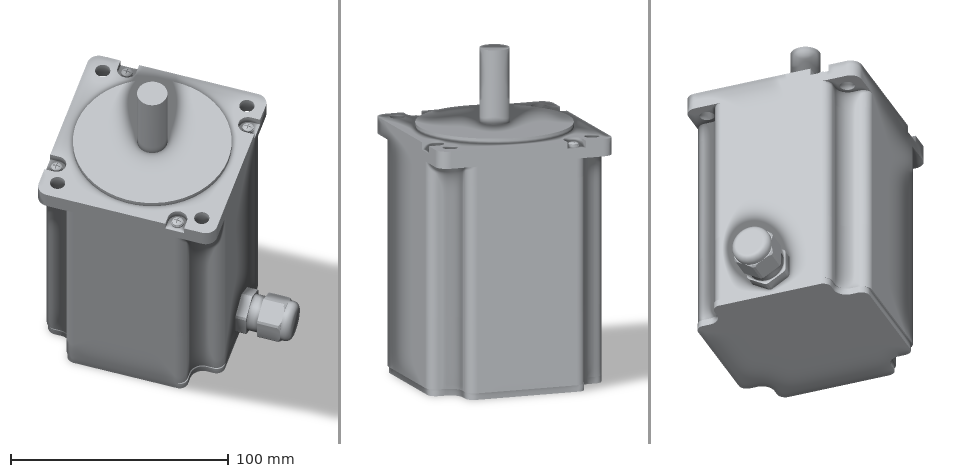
import cadquery as cq
import math

END_PLATE_TOP = 3.3
REAR_CASING_TOP = 37.3
STATOR_TOP = 101.0
FLANGE_BOTTOM = 110.0
FLANGE_TOP = 118.1
PILOT_TOP = 120.5
SHAFT_TOP = 155.4

BODY_WIDTH = 86.0
BODY_EDGE_RADIUS = 4.5
END_PLATE_WIDTH = 85.0
END_PLATE_SHIFT = (BODY_WIDTH - END_PLATE_WIDTH) / 2
END_PLATE_EDGE_RADIUS = BODY_EDGE_RADIUS - END_PLATE_SHIFT
RELIEF_SIDE = 14.0
RELIEF_RADIUS = 6.0

FLANGE_CORNER_RADIUS = 5.5
MOUNT_HOLE_DIAMETER = 7.0
MOUNT_HOLE_SPACING = 69.5
PILOT_DIAMETER = 73.0
SHAFT_DIAMETER = 14.0

POCKET_WIDTH = 9.0
POCKET_DEPTH = 3.4
SCREW_OFFSET = 24.2
SCREW_RADIAL = 38.5
WASHER_DIAMETER = 5.5
WASHER_HEIGHT = 1.0
HEAD_DIAMETER = 5.0
HEAD_SIDE_HEIGHT = 0.8
HEAD_DOME_HEIGHT = 0.8
CROSS_LENGTH = 3.3
CROSS_WIDTH = 0.39
CROSS_DEPTH = 1.0

GLAND_HEIGHT = 13.4
GLAND_REACH = 26.0
LOCK_NUT_LENGTH = 5.1
NECK_LENGTH = 5.3
NECK_DIAMETER = 17.2
HEX_FLATS = 19.0
HEX_CORNERS = 21.1
CAP_HEX_LENGTH = 11.0
CAP_CHAMFER = 1.1
CAP_DIAMETER = HEX_FLATS
CAP_FILLET = 3.0


def housing_section(width, edge_radius, bottom, top):
    """Square prism with rounded reliefs cut along its four corners."""
    height = top - bottom
    prism = cq.Workplane("XY", origin=(0, 0, bottom)).rect(width, width).extrude(height)
    reliefs = (
        cq.Workplane("XY", origin=(0, 0, bottom))
        .rect(BODY_WIDTH, BODY_WIDTH, forConstruction=True)
        .vertices()
        .rect(2 * RELIEF_SIDE, 2 * RELIEF_SIDE)
        .extrude(height)
        .edges("|Z")
        .fillet(RELIEF_RADIUS)
    )
    outer_edges = "(>X or <X or >Y or <Y) and |Z"
    return prism.cut(reliefs).edges(outer_edges).fillet(edge_radius)


def flange():
    """Rounded square flange with four mounting holes."""
    return (
        cq.Workplane("XY", origin=(0, 0, FLANGE_BOTTOM))
        .rect(BODY_WIDTH, BODY_WIDTH)
        .extrude(FLANGE_TOP - FLANGE_BOTTOM)
        .edges("|Z")
        .fillet(FLANGE_CORNER_RADIUS)
        .faces(">Z")
        .workplane()
        .rect(MOUNT_HOLE_SPACING, MOUNT_HOLE_SPACING, forConstruction=True)
        .vertices()
        .hole(MOUNT_HOLE_DIAMETER)
    )


def disc(diameter, bottom, top):
    """Cylinder on the shaft axis."""
    return cq.Workplane("XY", origin=(0, 0, bottom)).circle(diameter / 2).extrude(top - bottom)


def screw_pocket():
    """Round-ended pocket open to the -Y side of the flange."""
    floor = cq.Workplane("XY", origin=(SCREW_OFFSET, -SCREW_RADIAL, FLANGE_TOP - POCKET_DEPTH))
    round_end = floor.circle(POCKET_WIDTH / 2).extrude(POCKET_DEPTH)
    opening = (
        floor.center(0, -POCKET_WIDTH / 2)
        .rect(POCKET_WIDTH, POCKET_WIDTH)
        .extrude(POCKET_DEPTH)
    )
    return round_end.union(opening)


def screw():
    """Washer and domed cross-recess screw head seated in the -Y pocket."""
    head_radius = HEAD_DIAMETER / 2
    head_edge = WASHER_HEIGHT + HEAD_SIDE_HEIGHT
    head_top = head_edge + HEAD_DOME_HEIGHT
    dome_radius = (head_radius**2 + HEAD_DOME_HEIGHT**2) / (2 * HEAD_DOME_HEIGHT)
    arc_middle = head_top - dome_radius + math.sqrt(dome_radius**2 - (head_radius / 2) ** 2)
    washer = cq.Workplane("XY").circle(WASHER_DIAMETER / 2).extrude(WASHER_HEIGHT)
    head = (
        cq.Workplane("XZ")
        .moveTo(0, WASHER_HEIGHT)
        .lineTo(head_radius, WASHER_HEIGHT)
        .lineTo(head_radius, head_edge)
        .threePointArc((head_radius / 2, arc_middle), (0, head_top))
        .close()
        .revolve(360, (0, 0, 0), (0, 1, 0))
    )
    top = cq.Workplane("XY", origin=(0, 0, head_top))
    cross = (
        top.rect(CROSS_LENGTH, CROSS_WIDTH)
        .extrude(-CROSS_DEPTH)
        .union(top.rect(CROSS_WIDTH, CROSS_LENGTH).extrude(-CROSS_DEPTH))
    )
    seat = (SCREW_OFFSET, -SCREW_RADIAL, FLANGE_TOP - POCKET_DEPTH)
    return washer.union(head).cut(cross).translate(seat)


def gland_plane(start):
    """Plane facing +X on the gland axis, a given distance out from the housing."""
    plane = cq.Plane(
        origin=(BODY_WIDTH / 2 + start, 0, GLAND_HEIGHT),
        xDir=(0, 0, 1),
        normal=(1, 0, 0),
    )
    return cq.Workplane(plane)


def across_corners(across_flats):
    """Corner-to-corner diameter of a regular hexagon."""
    return across_flats / math.cos(math.pi / 6)


def gland_hex(start, length):
    """Hexagon with corners up and down, each corner cut to a narrow facet."""
    hexagon = gland_plane(start).polygon(6, across_corners(HEX_FLATS)).extrude(length)
    facets = (
        gland_plane(start)
        .transformed(rotate=(0, 0, 30))
        .polygon(6, across_corners(HEX_CORNERS))
        .extrude(length)
    )
    return hexagon.intersect(facets)


def cable_gland():
    """Lock nut, round neck, and hexagonal cap nut ending in a rounded nose."""
    cap_start = LOCK_NUT_LENGTH + NECK_LENGTH
    cap_length = GLAND_REACH - cap_start
    lock_nut = gland_hex(0, LOCK_NUT_LENGTH)
    neck = gland_plane(0).circle(NECK_DIAMETER / 2).extrude(cap_start)
    corner_radius = across_corners(HEX_FLATS) / 2
    cone = (
        gland_plane(cap_start)
        .circle(corner_radius)
        .extrude(CAP_HEX_LENGTH)
        .faces(">X")
        .chamfer(corner_radius - CAP_DIAMETER / 2, CAP_CHAMFER)
    )
    cap_hex = gland_hex(cap_start, CAP_HEX_LENGTH).intersect(cone)
    nose = (
        gland_plane(cap_start)
        .circle(CAP_DIAMETER / 2)
        .extrude(cap_length)
        .faces(">X")
        .edges()
        .fillet(CAP_FILLET)
    )
    return lock_nut.union(neck).union(cap_hex).union(nose)


end_plate = housing_section(END_PLATE_WIDTH, END_PLATE_EDGE_RADIUS, 0, END_PLATE_TOP)
end_plate = end_plate.translate((END_PLATE_SHIFT, -END_PLATE_SHIFT, 0))
rear_casing = housing_section(BODY_WIDTH, BODY_EDGE_RADIUS, END_PLATE_TOP, REAR_CASING_TOP)
stator = housing_section(BODY_WIDTH, BODY_EDGE_RADIUS, REAR_CASING_TOP, STATOR_TOP)
front_casing = housing_section(BODY_WIDTH, BODY_EDGE_RADIUS, STATOR_TOP, FLANGE_BOTTOM)

result = flange().union(front_casing)
for section in (stator, rear_casing, end_plate):
    result = result.union(section, clean=False)
result = result.union(disc(PILOT_DIAMETER, FLANGE_TOP, PILOT_TOP), clean=False)
result = result.union(disc(SHAFT_DIAMETER, PILOT_TOP, SHAFT_TOP), clean=False)
result = result.union(cable_gland(), clean=False)
for quarter in range(4):
    angle = 90 * quarter
    result = result.cut(screw_pocket().rotate((0, 0, 0), (0, 0, 1), angle), clean=False)
    result = result.union(screw().rotate((0, 0, 0), (0, 0, 1), angle), clean=False)